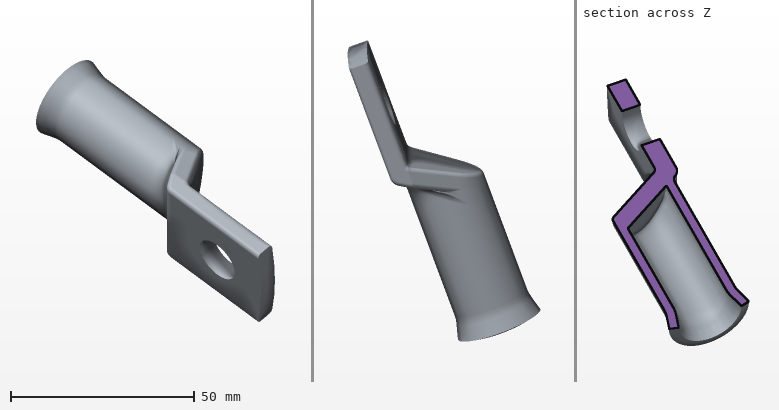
import cadquery as cq
import math

barrel_radius = 10.6
bore_radius = 7.8
flare_end = 5.15
flare_blend_end = 7.2
flare_radius = 12.0
flare_angle = math.radians(15)
wall = barrel_radius - bore_radius

length = 85.9
width = 30.0
thickness = 5.6
palm_bottom = -13.0
palm_top = palm_bottom + thickness
tip_sagitta = 1.2
hole_x = 69.5
hole_diameter = 13.05
edge_radius = 1.3

slope_angle = math.radians(59)
heel_x = 53.3
inner_bend_radius = 1.8
outer_bend_radius = 3.2
web_taper = math.radians(24)
barrel_fillet = 2.0

pick_reach = 0.02


def front_face_x(y):
    """X of the sloping front face at height y."""
    return heel_x - (y - palm_top) / math.tan(slope_angle)


def back_face_x(y):
    """X of the sloping back face at height y."""
    return front_face_x(y) - thickness / math.sin(slope_angle)


def edge_box(x, y, x_reach=pick_reach):
    """Selector for edges centred near the given x and y, at any z."""
    return cq.selectors.BoxSelector(
        (x - x_reach, y - pick_reach, -width), (x + x_reach, y + pick_reach, width)
    )


def make_shoulder():
    """Prism along X whose sides leave the barrel tangentially and reach the full palm width."""
    tangent_y = barrel_radius * math.sin(web_taper)
    tangent_z = barrel_radius * math.cos(web_taper)
    shoulder_y = tangent_y - (width / 2 - tangent_z) / math.tan(web_taper)
    shoulder = (
        cq.Workplane("YZ")
        .moveTo(palm_bottom, -width / 2)
        .lineTo(shoulder_y, -width / 2)
        .lineTo(tangent_y, -tangent_z)
        .threePointArc((barrel_radius, 0), (tangent_y, tangent_z))
        .lineTo(shoulder_y, width / 2)
        .lineTo(palm_bottom, width / 2)
        .close()
        .extrude(length)
    )
    shoulder_corners = edge_box(length / 2, shoulder_y)
    return shoulder.edges("|X").edges(shoulder_corners).fillet(edge_radius)


def make_palm_and_web():
    """Bent strip, trimmed to the tapered shoulder and the rounded tip."""
    top = barrel_radius
    strip = (
        cq.Workplane("XY")
        .moveTo(back_face_x(top), top)
        .lineTo(front_face_x(top), top)
        .lineTo(heel_x, palm_top)
        .lineTo(length, palm_top)
        .lineTo(length, palm_bottom)
        .lineTo(back_face_x(palm_bottom), palm_bottom)
        .close()
        .extrude(width / 2, both=True)
    )
    tip_corner_x = length - tip_sagitta
    tip = (
        cq.Workplane("XZ")
        .moveTo(0, -width / 2)
        .lineTo(tip_corner_x, -width / 2)
        .threePointArc((length, 0), (tip_corner_x, width / 2))
        .lineTo(0, width / 2)
        .close()
        .extrude(length, both=True)
    )
    return strip.intersect(make_shoulder()).intersect(tip)


def barrel_solid(inset):
    """Solid of revolution under the barrel skin, moved in by inset, with the rim square to the flare."""
    sine = math.sin(flare_angle)
    cosine = math.cos(flare_angle)
    blend_radius = (flare_blend_end - flare_end) / sine
    cone_foot_radius = barrel_radius + blend_radius * (1 - cosine)
    rim_x = flare_end - (flare_radius - cone_foot_radius) / math.tan(flare_angle)
    mouth_x = rim_x - wall * sine
    mouth_radius = flare_radius - wall * cosine
    if inset == 0:
        profile = (
            cq.Workplane("XY")
            .moveTo(mouth_x, 0)
            .lineTo(mouth_x, mouth_radius)
            .lineTo(rim_x, flare_radius)
        )
    else:
        start_x = mouth_x - wall * cosine
        start_radius = mouth_radius + wall * sine
        profile = cq.Workplane("XY").moveTo(start_x, 0).lineTo(start_x, start_radius)
    return (
        profile
        .lineTo(flare_end - inset * sine, cone_foot_radius - inset * cosine)
        .tangentArcPoint((flare_blend_end, barrel_radius - inset), relative=False)
        .lineTo(length, barrel_radius - inset)
        .lineTo(length, 0)
        .close()
        .revolve(360, (0, 0, 0), (1, 0, 0))
    )


def keep_left_of(face_x):
    """Block on the barrel side of a sloping face."""
    reach = 2 * flare_radius
    return (
        cq.Workplane("XY")
        .moveTo(-reach, reach)
        .lineTo(face_x(reach), reach)
        .lineTo(face_x(-reach), -reach)
        .lineTo(-reach, -reach)
        .close()
        .extrude(reach, both=True)
    )


def round_bends(blank):
    """Round the inside and the outside of the bend between web and palm."""
    bent = blank.edges("|Z").edges(edge_box(heel_x, palm_top)).fillet(inner_bend_radius)
    outer_bend = edge_box(back_face_x(palm_bottom), palm_bottom)
    return bent.edges("|Z").edges(outer_bend).fillet(outer_bend_radius)


def round_rim(blank, face_y):
    """Round the whole tangent chain that a palm face's straight side edges belong to."""
    palm_sides = edge_box(hole_x, face_y, x_reach=hole_diameter)
    return blank.edges("|X").edges(palm_sides).fillet(edge_radius)


def make_barrel_root():
    """Fillet between the barrel and the sloping back face, trimmed to the shoulder."""
    wide_web = keep_left_of(front_face_x).cut(keep_left_of(back_face_x))
    cylinder = cq.Workplane("YZ").workplane(offset=flare_blend_end).circle(barrel_radius).extrude(length)
    stub = cylinder.intersect(keep_left_of(front_face_x))
    root_edge = edge_box(back_face_x(0), 0)
    filleted = wide_web.union(stub).edges("%ELLIPSE").edges(root_edge).fillet(barrel_fillet)
    return filleted.intersect(make_shoulder())


strip = round_rim(round_bends(make_palm_and_web()), palm_bottom)
barrel = barrel_solid(inset=0).intersect(keep_left_of(front_face_x))
root = make_barrel_root().intersect(keep_left_of(back_face_x))
body = round_rim(strip.union(barrel).union(root), palm_top)

bore = barrel_solid(inset=wall).intersect(keep_left_of(back_face_x))
hole = (
    cq.Workplane("XZ")
    .center(hole_x, 0)
    .circle(hole_diameter / 2)
    .extrude(length, both=True)
)
result = body.cut(bore).cut(hole)